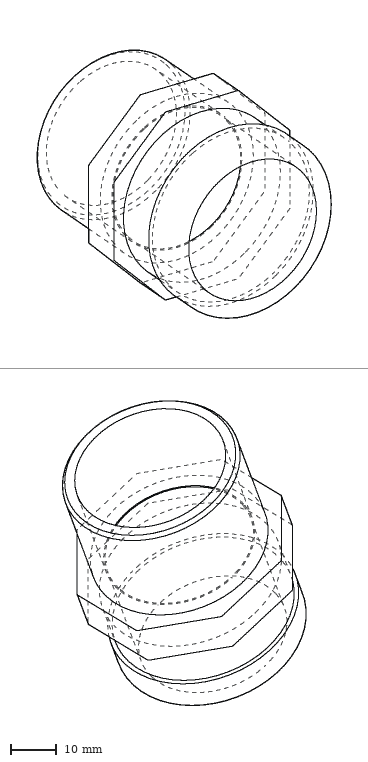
import cadquery as cq
import math

total_length = 56.1
spigot_length = 26.0
nut_length = 10.0
collar_length = 8.6

spigot_diameter = 40.0
neck_diameter = 41.0
collar_diameter = 43.0
nut_across_flats = 46.0
nut_sides = 8

bore_entry_diameter = 34.0
bore_exit_diameter = 33.4
bore_step_position = spigot_length

spigot_chamfer_length = 0.9
spigot_chamfer_depth = 0.75
collar_fillet = 2.0
nut_corner_radius = 0.5


def cylinder(start, end, diameter):
    """Solid cylinder about the X axis, from start to end."""
    return cq.Workplane("YZ", origin=(start, 0, 0)).circle(diameter / 2).extrude(end - start)


def make_spigot():
    """Plain tube end with a chamfered rim, running on to the back of the nut."""
    spigot = cylinder(0, spigot_length + nut_length, spigot_diameter)
    return spigot.faces("<X").edges().chamfer(spigot_chamfer_length, spigot_chamfer_depth)


def make_nut():
    """Octagonal wrench section with flats square to Y and Z and eased corners."""
    corner_diameter = nut_across_flats / math.cos(math.pi / nut_sides)
    nut = (
        cq.Workplane("YZ", origin=(spigot_length, 0, 0))
        .transformed(rotate=(0, 0, 180 / nut_sides))
        .polygon(nut_sides, corner_diameter)
        .extrude(nut_length)
    )
    return nut.edges("|X").fillet(nut_corner_radius)


def make_neck():
    """Round section between the nut and the collar."""
    return cylinder(spigot_length + nut_length, total_length - collar_length, neck_diameter)


def make_collar():
    """End collar with a rounded outer rim."""
    collar = cylinder(total_length - collar_length, total_length, collar_diameter)
    return collar.faces(">X").edges().fillet(collar_fillet)


def make_bore():
    """Through passage with one small step down in diameter."""
    entry = cylinder(0, bore_step_position, bore_entry_diameter)
    return entry.union(cylinder(bore_step_position, total_length, bore_exit_diameter))


outside = make_spigot().union(make_nut()).union(make_neck()).union(make_collar())
result = outside.cut(make_bore())